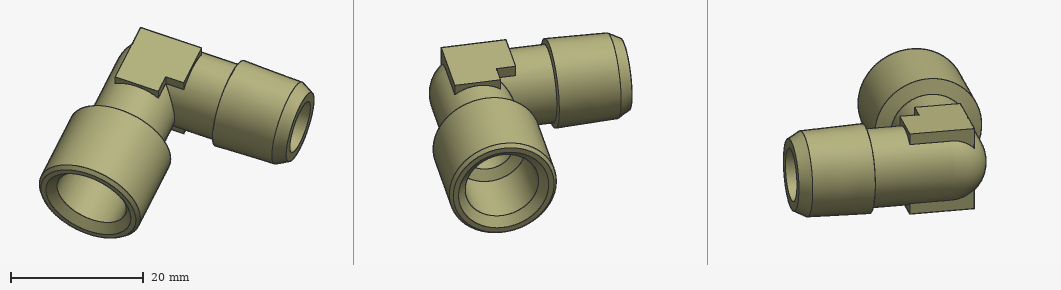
import cadquery as cq
import math

tube_radius = 5.98
bore_radius = 4.05

socket_end = 25.5
socket_diameter = 16.5
socket_radius = socket_diameter / 2
socket_shoulder_start = 12.25
socket_shoulder_length = 0.7
socket_rim_length = 0.58
socket_rim_width = 0.5
thread_radius = 5.65
thread_depth = 10.35
mouth_radius = 6.95
mouth_depth = mouth_radius - thread_radius
drill_tip_half_angle = math.radians(59)

spigot_start = 12.3
spigot_end = 24.0
spigot_radius = 6.82
spigot_back_length = 0.2
spigot_nose_radius = 6.53
spigot_nose_length = 1.9
spigot_tip_radius = 5.5

flat_height = 13.12
flat_half_width = 3.52
flat_arm_end = 6.45


def revolved(profile):
    """Turn (distance along X, radius) points, closed along the axis, about X."""
    points = [(profile[0][0], 0), *profile, (profile[-1][0], 0)]
    return cq.Workplane("XY").polyline(points).close().revolve(360, (0, 0, 0), (1, 0, 0))


def on_socket_axis(solid):
    """Swing a solid made along +X round to -Y."""
    return solid.rotate((0, 0, 0), (0, 0, 1), -90)


def socket_arm():
    return on_socket_axis(revolved([
        (0, tube_radius),
        (socket_shoulder_start, tube_radius),
        (socket_shoulder_start + socket_shoulder_length, socket_radius),
        (socket_end - socket_rim_length, socket_radius),
        (socket_end, socket_radius - socket_rim_width),
    ]))


def spigot_arm():
    return revolved([
        (0, tube_radius),
        (spigot_start, tube_radius),
        (spigot_start + spigot_back_length, spigot_radius),
        (spigot_end - spigot_nose_length, spigot_nose_radius),
        (spigot_end, spigot_tip_radius),
    ])


def wrench_flats():
    """L-shaped block whose top and bottom stand out from the tubes."""
    outline = [
        (-flat_half_width, flat_half_width),
        (flat_arm_end, flat_half_width),
        (flat_arm_end, -flat_half_width),
        (flat_half_width, -flat_half_width),
        (flat_half_width, -flat_arm_end),
        (-flat_half_width, -flat_arm_end),
    ]
    return cq.Workplane("XY").polyline(outline).close().extrude(flat_height / 2, both=True)


def socket_bore():
    thread_end = socket_end - thread_depth
    cone_length = (thread_radius - bore_radius) / math.tan(drill_tip_half_angle)
    return on_socket_axis(revolved([
        (0, bore_radius),
        (thread_end - cone_length, bore_radius),
        (thread_end, thread_radius),
        (socket_end - mouth_depth, thread_radius),
        (socket_end, mouth_radius),
    ]))


def spigot_bore():
    return revolved([(0, bore_radius), (spigot_end, bore_radius)])


def crossing_core():
    """Tube-sized cylinder along X, wide enough to close a bore that meets it from the side."""
    return revolved([(-tube_radius, tube_radius), (tube_radius, tube_radius)])


elbow = cq.Workplane("XY").sphere(tube_radius)
body = elbow.union(socket_arm()).union(spigot_arm()).union(wrench_flats())
socket_cavity = socket_bore().cut(crossing_core())
spigot_cavity = spigot_bore().cut(on_socket_axis(crossing_core()))
result = body.cut(socket_cavity).cut(spigot_cavity)